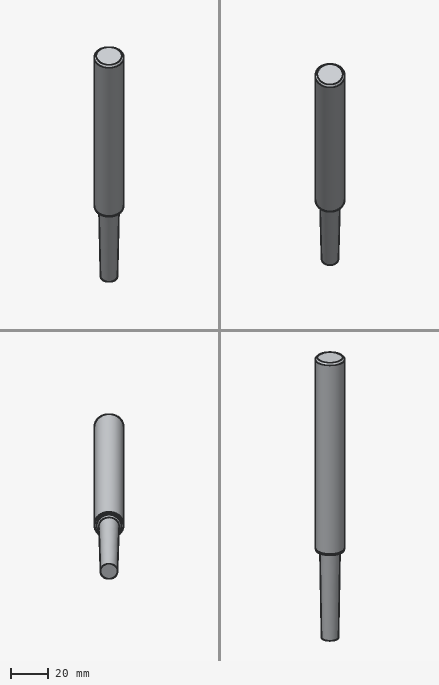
import cadquery as cq

total_length = 165.1
shank_diameter = 15.8
neck_length = 51.0
neck_top_diameter = 10.9
neck_tip_diameter = 9.2
top_chamfer = 1.2
collar_width = 1.2
shank_end_z = 51.8
shank_edge_width = 0.3
shank_edge_height = 1.0

shank_radius = shank_diameter / 2
neck_top_radius = neck_top_diameter / 2
neck_tip_radius = neck_tip_diameter / 2
collar_radius = neck_top_radius + collar_width

half_profile = (
    cq.Workplane("XZ")
    .moveTo(0, 0)
    .lineTo(neck_tip_radius, 0)
    .lineTo(neck_top_radius, neck_length)
    .lineTo(collar_radius, shank_end_z)
    .lineTo(shank_radius - shank_edge_width, shank_end_z)
    .lineTo(shank_radius, shank_end_z + shank_edge_height)
    .lineTo(shank_radius, total_length - top_chamfer)
    .lineTo(shank_radius - top_chamfer, total_length)
    .lineTo(0, total_length)
    .close()
)

pin = half_profile.revolve(360, (0, 0), (0, 1))
result = pin.translate((0, 0, -total_length / 2))